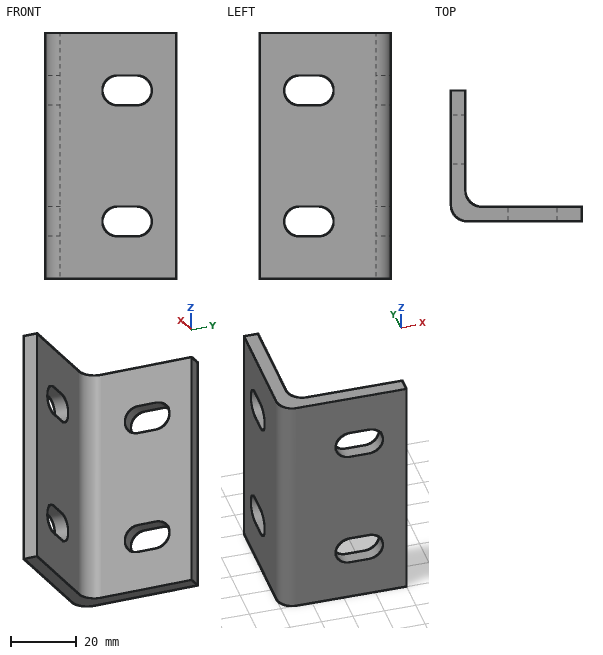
import cadquery as cq

height = 75.0
leg_length = 40.0
thickness = 4.5
bend_radius = 5.0

slot_length = 15.0
slot_width = 9.0
slot_offset = 25.0
slot_spacing = 40.0

slot_heights = [(height - slot_spacing) / 2, (height + slot_spacing) / 2]


def angle_body():
    """L-shaped angle with its outer corner on the Z axis and a rounded bend."""
    body = (
        cq.Workplane("XY")
        .moveTo(0, 0)
        .lineTo(leg_length, 0)
        .lineTo(leg_length, thickness)
        .lineTo(thickness, thickness)
        .lineTo(thickness, leg_length)
        .lineTo(0, leg_length)
        .close()
        .extrude(height)
    )
    outer_corner = cq.selectors.NearestToPointSelector((0, 0, height / 2))
    inner_corner = cq.selectors.NearestToPointSelector((thickness, thickness, height / 2))
    body = body.edges(inner_corner).fillet(bend_radius)
    return body.edges(outer_corner).fillet(bend_radius)


def leg_slots(plane):
    """Horizontal slot cutters reaching through the leg on either side of the plane."""
    return (
        cq.Workplane(plane)
        .pushPoints([(slot_offset, z) for z in slot_heights])
        .slot2D(slot_length, slot_width)
        .extrude(thickness, both=True)
    )


result = angle_body()
for leg_plane in ("XZ", "YZ"):
    result = result.cut(leg_slots(leg_plane))